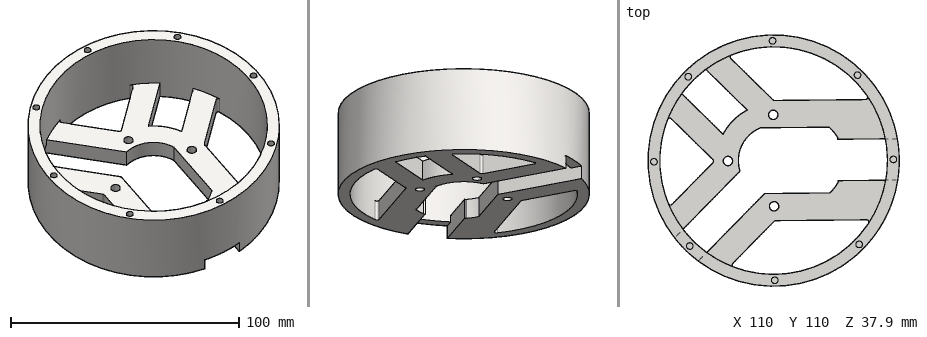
import cadquery as cq
import math

OUTER_DIAMETER = 110.0
INNER_DIAMETER = 99.5
HEIGHT = 37.87

PATTERN_TURN = 0.54

RIM_HOLE_COUNT = 8
RIM_HOLE_DIAMETER = 2.9
RIM_HOLE_DEPTH = 10.0
MID_WALL_RADIUS = (OUTER_DIAMETER + INNER_DIAMETER) / 4

SPIDER_THICKNESS = 8.87
MOUNT_HOLE_DIAMETER = 4.0
MOUNT_HOLE_RADIUS = 20.0
MOUNT_HOLE_ANGLES = (90, 180, 270)

SIDE_CORNER_X = 0.2
SIDE_CORNER_Y = 26.35
LEFT_CORNER_X = -25.95
OPENING_FILLET = 1.0

HUB_BORE_RADIUS = 15.4
CHANNEL_HALF_WIDTH = 14.33
MOUTH_HALF_WIDTH = 9.0
MOUTH_START_X = 28.1

CHANNEL_END_CENTER_X = 11.2
CHANNEL_END_RADIUS = 19.5

LOWER_GAP_ANGLE = 225
GAP_HALF_WIDTH = 7.25
POCKET_ANGLE = 135
POCKET_EXTRA_WIDTH = 0.4
POCKET_INNER_RADIUS = 25.0

NOTCH_HEIGHT = 5.87

REACH = OUTER_DIAMETER


def disc(radius, height, center_x=0, center_y=0):
    """Cylinder standing on the bottom plane."""
    return cq.Workplane("XY").center(center_x, center_y).circle(radius).extrude(height)


def radial_bar(right_width, left_width, angle, height):
    """Bar from the axis outward, with separate widths to the right and left of its direction."""
    bar = cq.Workplane("XY").box(REACH, right_width + left_width, height, centered=False)
    return bar.translate((0, -right_width, 0)).rotate((0, 0, 0), (0, 0, 1), angle)


def outer_opening(points):
    """Opening inside the ring wall, with its upright corners rounded."""
    opening = cq.Workplane("XY").polyline(points).close().extrude(SPIDER_THICKNESS)
    opening = opening.intersect(disc(INNER_DIAMETER / 2, SPIDER_THICKNESS))
    return opening.edges("|Z").fillet(OPENING_FILLET)


def side_opening(side):
    """Opening between a diagonal arm and the straight arm on the +Y (1) or -Y (-1) side."""
    near_y = side * SIDE_CORNER_Y
    far_y = side * (SIDE_CORNER_Y + REACH)
    return outer_opening(
        [
            (SIDE_CORNER_X, near_y),
            (SIDE_CORNER_X + REACH, near_y),
            (SIDE_CORNER_X + REACH, far_y),
            (SIDE_CORNER_X - REACH, far_y),
        ]
    )


def left_opening():
    """Opening between the two diagonal arms on the -X side."""
    far_x = LEFT_CORNER_X - REACH
    return outer_opening([(LEFT_CORNER_X, 0), (far_x, REACH), (far_x, -REACH)])


def hub_opening():
    """Round hub bore continued by the channel and its mouth."""
    channel_band = cq.Workplane("XY").box(
        2 * MOUTH_START_X, 2 * CHANNEL_HALF_WIDTH, SPIDER_THICKNESS, centered=(True, True, False)
    )
    bore = disc(HUB_BORE_RADIUS, SPIDER_THICKNESS).intersect(channel_band)
    channel = radial_bar(CHANNEL_HALF_WIDTH, CHANNEL_HALF_WIDTH, 0, SPIDER_THICKNESS)
    channel = channel.intersect(channel_band)
    channel = channel.intersect(disc(CHANNEL_END_RADIUS, SPIDER_THICKNESS, CHANNEL_END_CENTER_X))
    mouth = radial_bar(MOUTH_HALF_WIDTH, MOUTH_HALF_WIDTH, 0, SPIDER_THICKNESS)
    return bore.union(channel).union(mouth)


def closed_pocket():
    """Gap between the arms on the -X +Y side, ending in an arc at the hub."""
    pocket = radial_bar(
        GAP_HALF_WIDTH + POCKET_EXTRA_WIDTH, GAP_HALF_WIDTH, POCKET_ANGLE, SPIDER_THICKNESS
    )
    return pocket.cut(disc(POCKET_INNER_RADIUS, SPIDER_THICKNESS))


def mount_hole(angle):
    """Through hole in the spider."""
    center_x = MOUNT_HOLE_RADIUS * math.cos(math.radians(angle))
    center_y = MOUNT_HOLE_RADIUS * math.sin(math.radians(angle))
    return disc(MOUNT_HOLE_DIAMETER / 2, SPIDER_THICKNESS, center_x, center_y)


def spider():
    """Plate of arms, reaching into the ring wall so that the two fuse."""
    plate = disc(MID_WALL_RADIUS, SPIDER_THICKNESS)
    plate = plate.cut(side_opening(1)).cut(side_opening(-1)).cut(left_opening())
    plate = plate.cut(hub_opening()).cut(closed_pocket())
    plate = plate.cut(radial_bar(GAP_HALF_WIDTH, GAP_HALF_WIDTH, LOWER_GAP_ANGLE, SPIDER_THICKNESS))
    for angle in MOUNT_HOLE_ANGLES:
        plate = plate.cut(mount_hole(angle))
    return plate


def ring():
    """Plain tube."""
    return disc(OUTER_DIAMETER / 2, HEIGHT).cut(disc(INNER_DIAMETER / 2, HEIGHT))


def rim_holes():
    """Blind holes spread evenly around the top rim."""
    return (
        cq.Workplane("XY", origin=(0, 0, HEIGHT))
        .polarArray(MID_WALL_RADIUS, 0, 360, RIM_HOLE_COUNT)
        .circle(RIM_HOLE_DIAMETER / 2)
        .extrude(-RIM_HOLE_DEPTH)
    )


def wall_notch(half_width, angle):
    """Cut through the ring wall that continues a gap of the spider."""
    bar = radial_bar(half_width, half_width, angle, NOTCH_HEIGHT)
    return bar.cut(disc(POCKET_INNER_RADIUS, NOTCH_HEIGHT))


def build_part():
    """Ring with spider, holes and notches, turned into place."""
    part = ring().union(spider()).cut(rim_holes())
    part = part.cut(wall_notch(MOUTH_HALF_WIDTH, 0))
    part = part.cut(wall_notch(GAP_HALF_WIDTH, LOWER_GAP_ANGLE))
    return part.rotate((0, 0, 0), (0, 0, 1), PATTERN_TURN)


result = build_part()